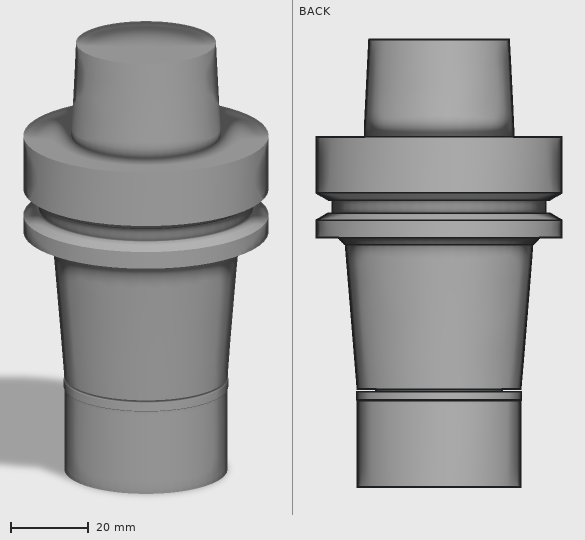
import cadquery as cq
import math

total_height = 115.0
flange_top = 89.9
shank_band_top = 92.0
groove_upper_edge = 75.5
groove_lower_edge = 68.5
flange_bottom = 64.0
collar_bottom = 62.2
taper_bottom = 25.2
ring_top = 24.5
ring_bottom = 22.2

flange_diameter = 63.0
groove_floor_diameter = 55.0
shank_base_diameter = 38.3
shank_top_diameter = 36.0
collar_top_diameter = 51.8
collar_bottom_diameter = 48.1
nose_diameter = 42.0
neck_diameter = 32.4
ring_diameter = 42.3

flank_angle = 60.0
flank_height = 1.8
flank_inner_diameter = flange_diameter - 2 * flank_height * math.tan(math.radians(flank_angle))

ring_chamfer = (ring_diameter - nose_diameter) / 2

profile = [
    (0, 0),
    (nose_diameter, 0),
    (nose_diameter, ring_bottom),
    (ring_diameter, ring_bottom + ring_chamfer),
    (ring_diameter, ring_top),
    (neck_diameter, ring_top),
    (neck_diameter, taper_bottom),
    (nose_diameter, taper_bottom),
    (collar_bottom_diameter, collar_bottom),
    (collar_top_diameter, flange_bottom),
    (flange_diameter, flange_bottom),
    (flange_diameter, groove_lower_edge),
    (flank_inner_diameter, groove_lower_edge + flank_height),
    (groove_floor_diameter, groove_lower_edge + flank_height),
    (groove_floor_diameter, groove_upper_edge - flank_height),
    (flank_inner_diameter, groove_upper_edge - flank_height),
    (flange_diameter, groove_upper_edge),
    (flange_diameter, flange_top),
    (shank_base_diameter, flange_top),
    (shank_base_diameter, shank_band_top),
    (shank_top_diameter, total_height),
    (0, total_height),
]

half_outline = [(diameter / 2, height) for diameter, height in profile]
result = cq.Workplane("XZ").polyline(half_outline).close().revolve(360, (0, 0), (0, 1))